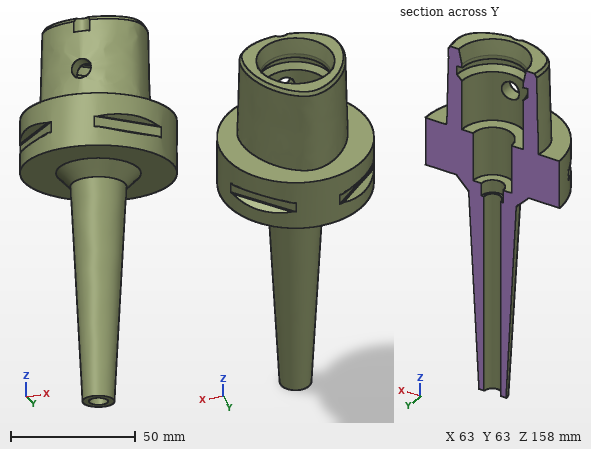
import cadquery as cq
import math

total_height = 158.0
shank_length = 37.6
flange_height = 22.5
transition_height = 5.8
shank_base_z = total_height - shank_length
flange_base_z = shank_base_z - flange_height
neck_top_z = flange_base_z - transition_height

flange_radius = 31.52
transition_radius = 17.0
neck_radius = 11.3
tip_radius = 6.5

shank_base_radius = 22.2
lobe_height = 1.5
lobe_count = 3
taper_per_side = 1 / 40
profile_points = 72
rim_chamfer_height = 1.6
rim_chamfer_width = 1.0

mouth_radius = 15.72
bore_radius = 14.3
mouth_depth = 6.6
groove_radius = 16.6
groove_top_depth = 8.5
groove_bottom_depth = 12.3
groove_chamfer = groove_radius - bore_radius
bore_depth = shank_length
screw_bore_radius = 9.0
screw_bore_depth = shank_length + flange_height
pilot_radius = 5.0
pilot_depth = screw_bore_depth + transition_height
through_radius = 3.87

slot_count = 4
slot_center_z = 108.2
slot_floor_distance = 27.8
slot_wall_depth = 0.8
slot_floor_width = 4.5
slot_mouth_width = 7.6

notch_radius = 4.1
notch_center_y = -22.0
notch_depth = 6.2
side_hole_radius = 4.1
side_hole_z = total_height - 22.3


def lobed_wire(mean_radius, z):
    """Closed lobed curve whose width is constant, with one lobe on +Y."""
    points = []
    for index in range(profile_points):
        angle = 2 * math.pi * index / profile_points
        support = mean_radius - lobe_height * math.sin(lobe_count * angle)
        slope = -lobe_count * lobe_height * math.cos(lobe_count * angle)
        x = support * math.cos(angle) - slope * math.sin(angle)
        y = support * math.sin(angle) + slope * math.cos(angle)
        points.append(cq.Vector(x, y, z))
    edge = cq.Edge.makeSpline(points, periodic=True)
    return cq.Wire.assembleEdges([edge])


def lobed_frustum(base_radius, base_z, top_radius, top_z):
    wires = [lobed_wire(base_radius, base_z), lobed_wire(top_radius, top_z)]
    return cq.Workplane(obj=cq.Solid.makeLoft(wires, True))


def make_shank():
    chamfer_z = total_height - rim_chamfer_height
    chamfer_radius = shank_base_radius - taper_per_side * (chamfer_z - shank_base_z)
    rim_radius = chamfer_radius - rim_chamfer_width
    taper = lobed_frustum(shank_base_radius, shank_base_z, chamfer_radius, chamfer_z)
    return taper.union(lobed_frustum(chamfer_radius, chamfer_z, rim_radius, total_height))


def revolve_profile(points):
    """Turn a closed radius/height outline about the Z axis."""
    return cq.Workplane("XZ").polyline(points).close().revolve(360, (0, 0, 0), (0, 1, 0))


def make_turned_body():
    return revolve_profile([
        (0, 0),
        (tip_radius, 0),
        (neck_radius, neck_top_z),
        (transition_radius, flange_base_z),
        (flange_radius, flange_base_z),
        (flange_radius, shank_base_z),
        (0, shank_base_z),
    ])


def make_bore():
    radius_and_depth = [
        (0, 0),
        (mouth_radius, 0),
        (bore_radius, mouth_depth),
        (bore_radius, groove_top_depth),
        (groove_radius, groove_top_depth),
        (groove_radius, groove_bottom_depth),
        (bore_radius, groove_bottom_depth + groove_chamfer),
        (bore_radius, bore_depth),
        (screw_bore_radius, bore_depth),
        (screw_bore_radius, screw_bore_depth),
        (pilot_radius, screw_bore_depth),
        (pilot_radius, pilot_depth),
        (through_radius, pilot_depth),
        (through_radius, total_height),
        (0, total_height),
    ]
    return revolve_profile([(radius, total_height - depth) for radius, depth in radius_and_depth])


def make_gripper_slot():
    """Straight slot with short square walls and a flared mouth, cut across the +X side of the flange."""
    half_floor = slot_floor_width / 2
    half_mouth = slot_mouth_width / 2
    flare_start = slot_floor_distance + slot_wall_depth
    return (
        cq.Workplane("XZ")
        .polyline([
            (slot_floor_distance, slot_center_z - half_floor),
            (flare_start, slot_center_z - half_floor),
            (flange_radius, slot_center_z - half_mouth),
            (flange_radius, slot_center_z + half_mouth),
            (flare_start, slot_center_z + half_floor),
            (slot_floor_distance, slot_center_z + half_floor),
        ])
        .close()
        .extrude(flange_radius, both=True)
    )


def make_notch():
    return (
        cq.Workplane("XY", origin=(0, notch_center_y, total_height - notch_depth))
        .circle(notch_radius)
        .extrude(notch_depth)
    )


def make_side_hole():
    """Radial hole from the -Y side into the bore."""
    return (
        cq.Workplane("XZ", origin=(0, 0, side_hole_z))
        .circle(side_hole_radius)
        .extrude(flange_radius)
    )


result = make_turned_body().union(make_shank()).cut(make_bore())
for index in range(slot_count):
    slot_angle = (index + 0.5) * 360 / slot_count
    result = result.cut(make_gripper_slot().rotate((0, 0, 0), (0, 0, 1), slot_angle))
result = result.cut(make_notch()).cut(make_side_hole())